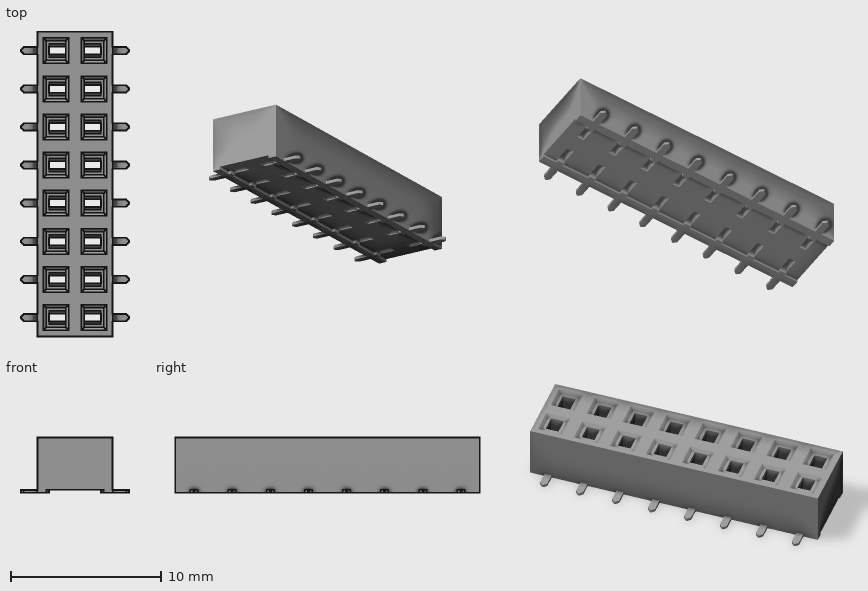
import cadquery as cq

pitch = 2.54
row_count = 8

body_width = 5.0
body_length = row_count * pitch
body_height = 3.7

channel_width = 3.84
channel_depth = 0.2

funnel_top = 1.7
funnel_bottom = 1.3
funnel_depth = 0.2
cavity_width = 1.1
cavity_length = 0.9
cavity_inner_x = pitch / 2 - funnel_bottom / 2
cavity_outer_x = cavity_inner_x + cavity_width
cavity_x = (cavity_inner_x + cavity_outer_x) / 2
floor_thickness = 0.5
cavity_floor = channel_depth + floor_thickness
slot_length = 0.5

lead_span = 7.2
lead_width = 0.5
lead_thickness = channel_depth
lead_tip_length = 0.2
lead_tip_width = 0.1
lead_inner_x = cavity_outer_x

row_positions = [(row - (row_count - 1) / 2) * pitch for row in range(row_count)]
sides = (-1, 1)


def make_housing():
    """Rectangular block, open underneath along its middle."""
    block = cq.Workplane("XY").box(body_width, body_length, body_height, centered=(True, True, False))
    channel = cq.Workplane("XY").box(channel_width, body_length, channel_depth, centered=(True, True, False))
    return block.cut(channel)


def make_socket(side, y):
    """Space removed for one contact, open from the top to the channel."""
    funnel = (
        cq.Workplane("XY", origin=(side * pitch / 2, y, body_height - funnel_depth))
        .rect(funnel_bottom, funnel_bottom)
        .workplane(offset=funnel_depth)
        .rect(funnel_top, funnel_top)
        .loft(ruled=True)
    )
    cavity = (
        cq.Workplane("XY", origin=(side * cavity_x, y, cavity_floor))
        .rect(cavity_width, cavity_length)
        .extrude(body_height - funnel_depth - cavity_floor)
    )
    slot = (
        cq.Workplane("XY", origin=(side * cavity_x, y, 0))
        .rect(cavity_width, slot_length)
        .extrude(cavity_floor)
    )
    return funnel.union(cavity).union(slot)


def make_lead(side, y):
    """Flat lead running outwards through the foot, with a tapered tip."""
    tip_x = lead_span / 2
    shoulder_x = tip_x - lead_tip_length
    outline = [
        (side * lead_inner_x, y - lead_width / 2),
        (side * shoulder_x, y - lead_width / 2),
        (side * tip_x, y - lead_tip_width / 2),
        (side * tip_x, y + lead_tip_width / 2),
        (side * shoulder_x, y + lead_width / 2),
        (side * lead_inner_x, y + lead_width / 2),
    ]
    return cq.Workplane("XY").polyline(outline).close().extrude(lead_thickness)


result = make_housing()
for side in sides:
    for y in row_positions:
        result = result.cut(make_socket(side, y)).union(make_lead(side, y))